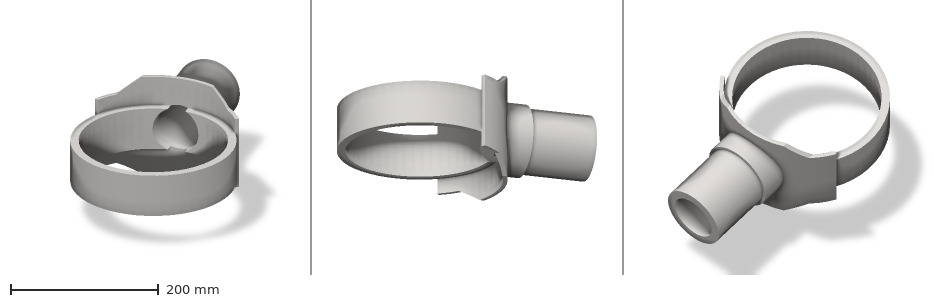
import cadquery as cq
import math

ring_outer_radius = 112.5
ring_inner_radius = 101.0
ring_height = 60.0

saddle_thickness = 6.0
saddle_outer_radius = ring_outer_radius + saddle_thickness
saddle_end_angle = 30
saddle_height = 144.0
saddle_end_height = 102.0
saddle_shoulder_x = 79.0

overall_length = 349.5
pipe_end_y = overall_length - ring_outer_radius
pipe_radius = 45.0
collar_radius = 50.0
collar_end_y = 145.0
bore_radius = 32.5


def cylinder_along_y(radius, end_y):
    """Solid cylinder running from the ring axis to end_y."""
    return cq.Workplane("XZ").circle(radius).extrude(-end_y)


def make_ring():
    return (
        cq.Workplane("XY")
        .circle(ring_outer_radius)
        .circle(ring_inner_radius)
        .extrude(ring_height / 2, both=True)
    )


def make_saddle():
    def arc_point(radius, degrees):
        angle = math.radians(degrees)
        return radius * math.cos(angle), radius * math.sin(angle)

    start = saddle_end_angle
    end = 180 - saddle_end_angle
    band = (
        cq.Workplane("XY")
        .moveTo(*arc_point(saddle_outer_radius, start))
        .threePointArc((0, saddle_outer_radius), arc_point(saddle_outer_radius, end))
        .lineTo(*arc_point(ring_outer_radius, end))
        .threePointArc((0, ring_outer_radius), arc_point(ring_outer_radius, start))
        .close()
        .extrude(saddle_height / 2, both=True)
    )
    top = saddle_height / 2
    shoulder = saddle_end_height / 2
    side = saddle_outer_radius
    right_half = [
        (collar_radius, top),
        (saddle_shoulder_x, shoulder),
        (side, shoulder),
        (side, -shoulder),
        (saddle_shoulder_x, -shoulder),
        (collar_radius, -top),
    ]
    left_half = [(-x, -z) for x, z in right_half]
    outline = cq.Workplane("XZ").polyline(right_half + left_half).close().extrude(-saddle_outer_radius)
    return band.intersect(outline)


def make_branch():
    """Pipe and collar, trimmed to sit on the outside of the ring surface."""
    ring_space = cq.Workplane("XY").circle(ring_outer_radius).extrude(saddle_height / 2, both=True)
    pipe = cylinder_along_y(pipe_radius, pipe_end_y)
    collar = cylinder_along_y(collar_radius, collar_end_y)
    return pipe.union(collar).cut(ring_space)


bore = cylinder_along_y(bore_radius, pipe_end_y)
result = make_ring().union(make_saddle()).union(make_branch()).cut(bore)